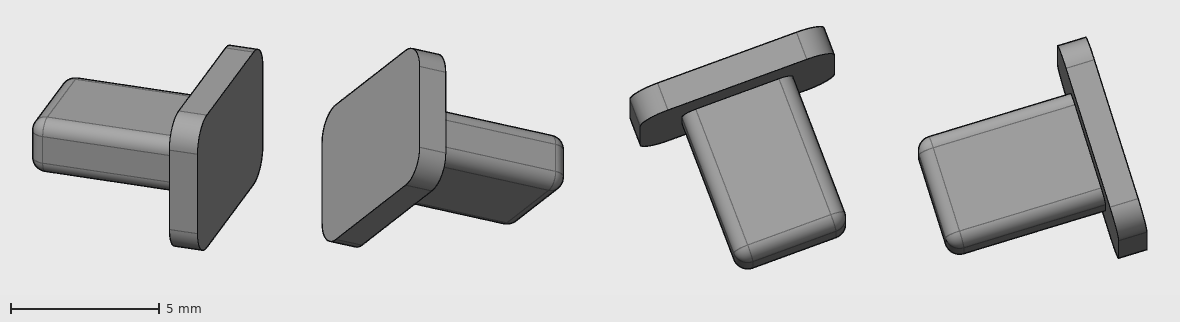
import cadquery as cq

flange_width = 7.0
flange_height = 5.0
flange_thickness = 1.0
flange_corner_radius = flange_thickness

plug_length = 5.5
plug_width = 4.0
plug_height = 2.0
plug_edge_radius = plug_height / 4


def make_flange():
    """Rounded plate with its -X face on the YZ plane, centred on the X axis."""
    plate = cq.Workplane("XY").box(
        flange_thickness, flange_width, flange_height, centered=(False, True, True)
    )
    return plate.edges("|X").fillet(flange_corner_radius)


def make_plug():
    """Bar ending at the flange, with its long edges and free end rounded."""
    bar = cq.Workplane("XY").box(
        plug_length, plug_width, plug_height, centered=(False, True, True)
    )
    bar = bar.translate((-plug_length, 0, 0))
    return bar.edges("|X or <X").fillet(plug_edge_radius)


result = make_flange().union(make_plug())